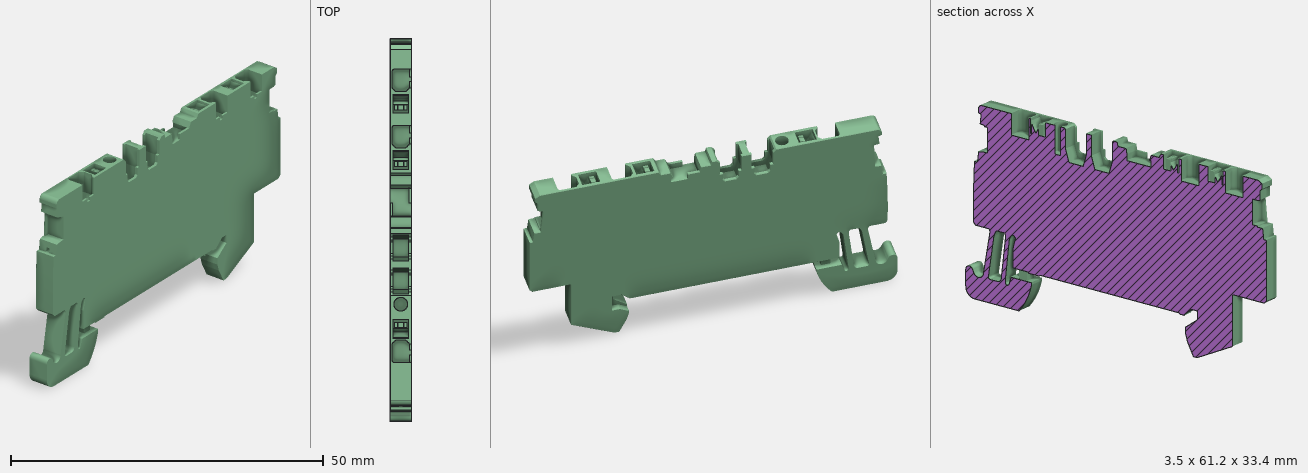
import cadquery as cq

thickness = 3.5
length = 61.2
height = 33.35
half_thickness = thickness / 2

rail_z = 7.05
skirt_z = 12.6
shoulder_z = 23.5
ledge_z = 25.35
grip_top_z = 30.0
step_z = 32.7
front_y = 1.6
hook_back_y = 54.3
edge_chamfer = 0.09

jumper_slots = ((27.7, 1), (22.45, -1))
slot_bevel = 0.55
slot_width = 3.55
slot_throat_width = 2.6
slot_step_z = 30.3
slot_floor_z = 28.65
slot_round = 0.35
slot_recess_margin = 0.3
slot_recess_bend_z = 29.8
slot_recess_taper = 0.7
slot_recess_floor_z = 27.65
slot_recess_x = 2.5

groove_back_y = 37.65
groove_middle_y = 34.9
groove_front_y = 32.85
groove_floor_z = 30.65
groove_top_z = 31.7
lip_width = 0.4

hook_lip_z = 5.3
hook_gap_y = 47.4
hook_tip_y = 44.7
cover_thickness = 1.05

grip_wall = 0.4
front_grip_y = 3.85
back_grip_y = 58.95
grip_extra_depth = 0.55
grip_margin = 0.2
notch_width = 0.75
notch_height = 0.8
notch_back_y = 3.3

foot_top_z = 5.45
foot_heel_radius = 1.85
leg_root_z = skirt_z + 0.2
pin_width = 1.8
pin_y_range = (10.9, 12.5)
joint_overlap = 0.3

pad_y_ranges = ((12.7, 15.1), (43.4, 44.5))
pad_height = 0.2

wire_length = 3.6
wire_half_width = 1.4
wire_chamfer = 0.6
wire_round = 0.4
wire_depth = 3.7
wire_window_depth = 3.05
wire_window_notch = 0.75
wire_notch_offset = 0.2
lever_length = 3.0
lever_width = 2.5
lever_depth = 2.45
lever_block_width = 1.95
lever_block_span = (0.25, 1.05)
lever_block_height = 1.85
lever_groove_x = 0.5
lever_groove_width = 0.1
lever_groove_depth = 0.6
test_hole_y = 18.7
test_hole_diameter = 2.2
test_hole_depth = 4.9
terminals = (
    (54.5, 50.8, -1),
    (45.55, 41.8, -1),
    (11.2, 14.75, 1),
)


def side_prism(outline, x_low=-half_thickness, x_high=half_thickness):
    """Extrude a closed (Y, Z) outline between two X levels."""
    return outline.extrude(x_high - x_low).translate((x_low, 0, 0))


def polygon(points):
    return cq.Workplane("YZ").polyline(points).close()


def block(x_range, y_range, z_range):
    size = [high - low for low, high in (x_range, y_range, z_range)]
    low_corner = (x_range[0], y_range[0], z_range[0])
    return cq.Workplane("XY").box(*size, centered=False).translate(low_corner)


def make_housing():
    back_end = [
        (59.5, height), (60.3, 32.85), (60.3, 31.95), (59.85, 31.6), (59.85, grip_top_z),
        (back_grip_y, 29.55), (59.35, ledge_z), (60.4, ledge_z), (60.65, shoulder_z),
        (length, shoulder_z), (length, 13.1), (60.7, skirt_z), (hook_back_y, skirt_z),
    ]
    hook = [
        (hook_back_y, 3.8), (47.05, 0.25), (46.25, 0.25), (45.05, 2.6), (hook_tip_y, 3.8),
        (hook_tip_y, 4.5), (46.15, hook_lip_z), (hook_gap_y, hook_lip_z),
        (hook_gap_y, 8.2), (45.9, 8.2), (44.5, rail_z),
    ]
    front_foot = [
        (9.6, rail_z), (9.6, 10.4), (10.1, 12.25), (9.8, skirt_z), (2.0, skirt_z),
        (front_y, 13.1),
    ]
    front_end = [
        (2.4, shoulder_z),
        (2.65, ledge_z), (3.7, 25.5), (front_grip_y, grip_top_z), (2.95, grip_top_z + 0.1),
        (3.1, 31.75), (2.6, 31.95), (2.6, 32.6),
    ]
    top_edge = [
        (30.85, height), (31.0, step_z), (32.7, step_z), (groove_front_y, groove_top_z),
        (37.3, groove_top_z), (37.75, step_z), (39.3, step_z), (39.7, height),
    ]
    outline = cq.Workplane("YZ").polyline(back_end + hook + front_foot)
    outline = outline.threePointArc((front_y, 18.35), (1.8, shoulder_z))
    for y, z in front_end:
        outline = outline.lineTo(y, z)
    outline = outline.threePointArc((2.8, 33.1), (3.3, height))
    for y, z in top_edge:
        outline = outline.lineTo(y, z)
    return side_prism(outline.close())


def cut_jumper_slots(body):
    """Stepped slots, wide at the top and narrow at the floor, open through both faces."""
    wide = slot_width / 2
    narrow = slot_throat_width / 2
    lower_left = [
        (-wide, slot_step_z), (-narrow, slot_step_z),
        (-narrow, slot_floor_z + slot_round), (-narrow + slot_round, slot_floor_z),
    ]
    lower_right = [(-y, z) for y, z in reversed(lower_left)]
    bevelled_top = [(wide, height - slot_bevel), (wide + slot_bevel, height)]
    outline = [(-wide, height)] + lower_left + lower_right + bevelled_top
    for center_y, bevel_side in jumper_slots:
        points = [(center_y + bevel_side * y, z) for y, z in outline]
        body = body.cut(side_prism(polygon(points)))
    return body


def cut_jumper_recesses(body):
    """Deeper tapered recesses in the middle of the slots, between rims left at both faces."""
    reach = slot_recess_x / 2
    wide = slot_width / 2 + slot_recess_margin
    narrow = wide - slot_recess_taper
    outline = [
        (-wide, height), (-wide, slot_recess_bend_z), (-narrow, slot_recess_floor_z),
        (narrow, slot_recess_floor_z), (wide, slot_recess_bend_z), (wide, height),
    ]
    for center_y, _ in jumper_slots:
        points = [(center_y + y, z) for y, z in outline]
        body = body.cut(side_prism(polygon(points), -reach, reach))
    return body


def cut_marker_groove(body):
    inner = half_thickness - lip_width
    levels = (groove_floor_z, groove_top_z)
    back_half = block((-half_thickness, inner), (groove_middle_y, groove_back_y), levels)
    front_half = block((-inner, half_thickness), (groove_front_y, groove_middle_y), levels)
    return body.cut(back_half).cut(front_half)


def cut_grips(body):
    """Deepen the end recesses behind the -X wall and notch the front shoulder."""
    x_range = (-half_thickness + grip_wall, half_thickness)
    z_range = (ledge_z + grip_margin, grip_top_z - grip_margin)
    front_recess = block(x_range, (front_y, front_grip_y + grip_extra_depth), z_range)
    back_recess = block(x_range, (back_grip_y - grip_extra_depth, length), z_range)
    notch = block(
        (-notch_width / 2, notch_width / 2),
        (front_y, notch_back_y),
        (shoulder_z, shoulder_z + notch_height),
    )
    return body.cut(front_recess).cut(back_recess).cut(notch)


def make_hook_nose():
    nose = polygon([
        (hook_gap_y, hook_lip_z - joint_overlap), (hook_gap_y, 8.2), (47.05, 8.2), (47.05, 6.75),
        (hook_tip_y, 4.95), (hook_tip_y, 4.0),
    ])
    return side_prism(nose, -half_thickness + cover_thickness, half_thickness)


def make_foot():
    heel = foot_heel_radius
    heel_mid = heel * (1 - 0.5 ** 0.5)
    foot = (
        cq.Workplane("YZ")
        .moveTo(heel, 0)
        .lineTo(10.9, 0)
        .threePointArc((12.6, 2.6), (13.45, 5.0))
        .lineTo(13.45, foot_top_z)
        .lineTo(9.25, foot_top_z)
        .lineTo(8.8, 4.15)
        .threePointArc((8.5, 3.9), (8.15, 4.2))
        .lineTo(8.15, 4.65)
        .lineTo(8.95, 11.6)
        .threePointArc((9.25, 12.35), (9.8, leg_root_z))
        .lineTo(7.7, leg_root_z)
        .threePointArc((8.0, 12.4), (8.1, 12.0))
        .lineTo(7.2, 4.8)
        .threePointArc((7.05, 4.35), (6.7, 4.1))
        .lineTo(5.0, 4.1)
        .threePointArc((4.8, 4.2), (4.7, 4.5))
        .lineTo(5.8, 11.55)
        .threePointArc((6.0, 12.1), (6.4, leg_root_z))
        .lineTo(4.5, leg_root_z)
        .threePointArc((4.85, 12.4), (4.9, 12.0))
        .lineTo(3.6, 4.9)
        .threePointArc((2.6, 3.9), (1.8, 4.4))
        .lineTo(1.5, 4.9)
        .threePointArc((0.8, foot_top_z), (0, 4.65))
        .lineTo(0, heel)
        .threePointArc((heel_mid, heel_mid), (heel, 0))
        .close()
    )
    return side_prism(foot)


def make_rail_pin():
    z_range = (foot_top_z - joint_overlap, rail_z + joint_overlap)
    return block((-pin_width / 2, pin_width / 2), pin_y_range, z_range)


def add_rail_pads(body):
    x_range = (-half_thickness + cover_thickness, half_thickness)
    for y_range in pad_y_ranges:
        body = body.union(block(x_range, y_range, (rail_z - pad_height, rail_z + joint_overlap)))
    return body


def cut_wire_entry(body, center_y, lever_side):
    """Pocket with a chamfered end next to its lever and a window in the +X wall."""
    half_length = wire_length / 2
    pocket = (
        cq.Workplane("XY", origin=(0, center_y, height))
        .rect(2 * wire_half_width, wire_length)
        .extrude(-wire_depth)
    )
    lever_end, outer_end = (">Y", "<Y") if lever_side > 0 else ("<Y", ">Y")
    pocket = pocket.faces(lever_end).edges("|Z").chamfer(wire_chamfer)
    pocket = pocket.faces(outer_end).edges("|Z and <X").fillet(wire_round)
    window_ends = sorted((
        center_y - lever_side * half_length,
        center_y + lever_side * (half_length - wire_chamfer),
    ))
    window = block((0, half_thickness), window_ends, (height - wire_window_depth, height))
    notch_y = center_y - lever_side * wire_notch_offset
    notch = block(
        (0, half_thickness),
        (notch_y - wire_window_notch / 2, notch_y + wire_window_notch / 2),
        (height - wire_depth, height),
    )
    return body.cut(pocket).cut(window).cut(notch)


def cut_lever(body, center_y, lever_side):
    """Rectangular well holding a grooved block beside a V-shaped cradle."""
    floor_z = height - lever_depth
    half_length = lever_length / 2
    half_width = lever_width / 2
    well = block(
        (-half_width, half_width),
        (center_y - half_length, center_y + half_length),
        (floor_z, height),
    )
    cradle_profile = [
        (-1.35, 0), (-1.35, 2.1), (-1.1, 1.4), (-0.8, 0.8), (-0.4, 0.3), (0.1, 1.35), (0.1, 0),
    ]
    cradle = side_prism(
        polygon([(center_y + lever_side * y, floor_z + z) for y, z in cradle_profile]),
        -half_width, half_width,
    )
    block_ends = sorted(center_y + lever_side * y for y in lever_block_span)
    half_block = lever_block_width / 2
    lever = block((-half_block, half_block), block_ends, (floor_z, floor_z + lever_block_height))
    half_groove = lever_groove_width / 2
    for x in (-lever_groove_x, lever_groove_x):
        groove_z_range = (floor_z + lever_block_height - lever_groove_depth, height)
        groove = block((x - half_groove, x + half_groove), block_ends, groove_z_range)
        lever = lever.cut(groove)
    return body.cut(well).union(cradle).union(lever)


body = cut_jumper_slots(make_housing())
body = body.faces("<X").chamfer(edge_chamfer)
body = cut_jumper_recesses(body)
body = cut_marker_groove(body)
body = cut_grips(body)
body = add_rail_pads(body)
for wire_y, lever_y, lever_side in terminals:
    body = cut_wire_entry(body, wire_y, lever_side)
    body = cut_lever(body, lever_y, lever_side)
test_hole = (
    cq.Workplane("XY", origin=(0, test_hole_y, height))
    .circle(test_hole_diameter / 2)
    .extrude(-test_hole_depth)
)
body = body.cut(test_hole)

result = body.union(make_hook_nose()).union(make_foot()).union(make_rail_pin())